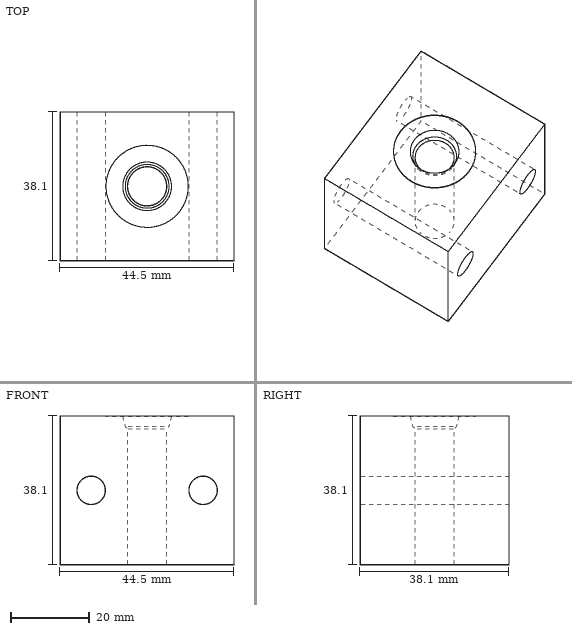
import cadquery as cq

length = 44.45
width = 38.1
height = width
top = height / 2

cross_hole_diameter = 7.2
cross_hole_spacing = 28.63

spotface_diameter = 21.02
spotface_depth = 0.22
mouth_diameter = 12.45
seat_diameter = 11.2
bore_diameter = 9.95
mouth_depth = 2.5
seat_depth = (seat_diameter - bore_diameter) / 2


def make_port():
    """Revolve the half-section of the material removed by the port."""
    spotface_z = top - spotface_depth
    seat_z = spotface_z - mouth_depth
    bore_z = seat_z - seat_depth
    half_section = [
        (0, top),
        (spotface_diameter / 2, top),
        (spotface_diameter / 2, spotface_z),
        (mouth_diameter / 2, spotface_z),
        (seat_diameter / 2, seat_z),
        (bore_diameter / 2, bore_z),
        (bore_diameter / 2, -top),
        (0, -top),
    ]
    return cq.Workplane("XZ").polyline(half_section).close().revolve(360, (0, 0), (0, 1))


def make_cross_holes():
    """Cylinders for the pair of holes, spaced evenly about the centre."""
    centres = [(-cross_hole_spacing / 2, 0), (cross_hole_spacing / 2, 0)]
    return (
        cq.Workplane("XZ")
        .pushPoints(centres)
        .circle(cross_hole_diameter / 2)
        .extrude(width / 2, both=True)
    )


block = cq.Workplane("XY").box(length, width, height)
result = block.cut(make_port()).cut(make_cross_holes())